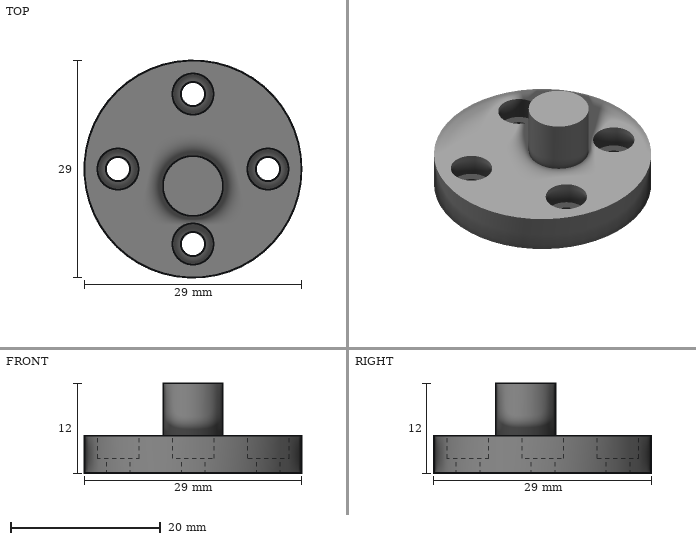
import cadquery as cq

flange_diameter = 29
flange_thickness = 5.0

pin_diameter = 8.0
pin_height = 7.02
pin_offset_y = -2.25

hole_count = 4
bolt_circle_diameter = 20
hole_diameter = 3.2
counterbore_diameter = 5.5
counterbore_depth = 3.0

flange = cq.Workplane("XY").circle(flange_diameter / 2).extrude(flange_thickness)

pin = (
    cq.Workplane("XY", origin=(0, pin_offset_y, flange_thickness))
    .circle(pin_diameter / 2)
    .extrude(pin_height)
)

drilled_flange = (
    flange.faces(">Z")
    .workplane()
    .polarArray(bolt_circle_diameter / 2, 0, 360, hole_count)
    .cboreHole(hole_diameter, counterbore_diameter, counterbore_depth)
)

result = drilled_flange.union(pin)